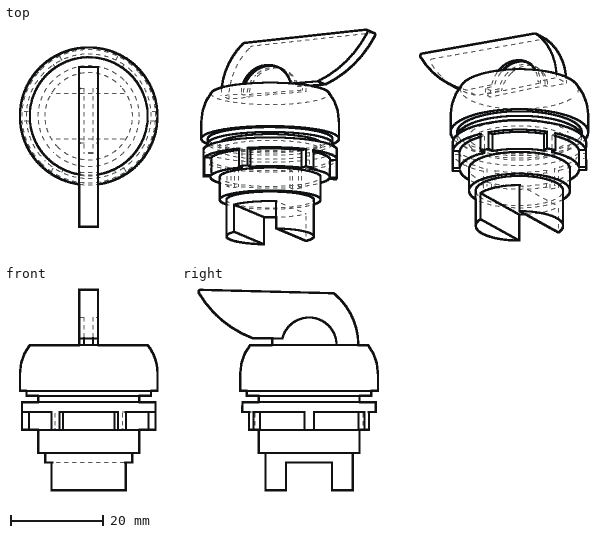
import cadquery as cq
import math

slot_top = 6.0
skirt_top = 8.1
tab_bottom = 13.1
flange_bottom = 16.95
flange_top = 19.1
gasket_bottom = 20.5
cap_bottom = 21.55
dome_start = 25.4
cap_top = 31.5

skirt_radius = 9.5
neck_radius = 10.95
collar_radius = 12.95
flange_radius = 14.5
gasket_radius = 13.55
cap_diameter = 29.9
cap_radius = cap_diameter / 2
cap_top_radius = 12.8

slot_width = 9.9
tab_count = 6
tab_width = 2.05

lever_thickness = 4.15
lever_top = 43.5
lever_back_y = 10.7
lever_back_radius = 14.5
lever_back_top_y = 5.35
lever_tip_y = -24.3
lever_underside = 32.95
nose_start_y = -12.2
nose_mid = (-19.1, 37.0)
tip_fillet = 0.5
back_fillet = 0.85

window_radius = 5.95
disc_radius = 8.05
disc_thickness = 1.95


def arc_mid_from_vertical(radius, height):
    """Inward shift and rise, halfway along an arc that starts vertical and climbs to height."""
    half_angle = math.asin(height / radius) / 2
    return radius * (1 - math.cos(half_angle)), radius * math.sin(half_angle)


def cylinder(radius, bottom, top):
    return cq.Workplane("XY").workplane(offset=bottom).circle(radius).extrude(top - bottom)


def make_cap():
    dome_height = cap_top - dome_start
    dome_inset = cap_radius - cap_top_radius
    dome_arc_radius = (dome_inset**2 + dome_height**2) / (2 * dome_inset)
    shift, rise = arc_mid_from_vertical(dome_arc_radius, dome_height)
    return (
        cq.Workplane("XZ")
        .moveTo(0, cap_bottom)
        .lineTo(cap_radius, cap_bottom)
        .lineTo(cap_radius, dome_start)
        .threePointArc((cap_radius - shift, dome_start + rise), (cap_top_radius, cap_top))
        .lineTo(0, cap_top)
        .close()
        .revolve(360, (0, 0, 0), (0, 1, 0))
    )


def make_tabs():
    """Tabs hanging below the flange, trimmed to its outer radius."""
    tab_height = flange_bottom - tab_bottom
    bars = cq.Workplane("XY")
    for index in range(tab_count // 2):
        bar = (
            cq.Workplane("XY")
            .workplane(offset=tab_bottom)
            .rect(cap_diameter, tab_width)
            .extrude(tab_height)
            .rotate((0, 0, 0), (0, 0, 1), index * 360 / tab_count)
        )
        bars = bars.union(bar)
    return bars.intersect(cylinder(flange_radius, tab_bottom, flange_bottom))


def make_housing():
    leg_slot = cq.Workplane("XY").box(
        cap_diameter, slot_width, slot_top, centered=(True, True, False)
    )
    return (
        cylinder(skirt_radius, 0, skirt_top)
        .cut(leg_slot)
        .union(cylinder(neck_radius, skirt_top, gasket_bottom))
        .union(cylinder(collar_radius, tab_bottom, flange_bottom))
        .union(make_tabs())
        .union(cylinder(flange_radius, flange_bottom, flange_top))
        .union(cylinder(gasket_radius, gasket_bottom, cap_bottom))
        .union(make_cap())
    )


def half_disc(radius, thickness):
    """Upper half of a disc across X, resting on the cap."""
    return (
        cq.Workplane("YZ")
        .moveTo(-radius, cap_top)
        .threePointArc((0, cap_top + radius), (radius, cap_top))
        .close()
        .extrude(thickness / 2, both=True)
    )


def make_lever():
    back_inset = lever_back_y - lever_back_top_y
    back_height = math.sqrt(lever_back_radius**2 - (lever_back_radius - back_inset) ** 2)
    back_top = cap_top + back_height
    shift, rise = arc_mid_from_vertical(lever_back_radius, back_height)
    plate = (
        cq.Workplane("YZ")
        .moveTo(lever_back_y, cap_top)
        .threePointArc((lever_back_y - shift, cap_top + rise), (lever_back_top_y, back_top))
        .lineTo(lever_tip_y, lever_top)
        .threePointArc(nose_mid, (nose_start_y, lever_underside))
        .lineTo(0, lever_underside)
        .lineTo(0, cap_top)
        .close()
        .extrude(lever_thickness / 2, both=True)
    )
    tip_edge = cq.selectors.NearestToPointSelector((0, lever_tip_y, lever_top))
    back_edge = cq.selectors.NearestToPointSelector((0, lever_back_top_y, back_top))
    plate = plate.edges("|X").edges(tip_edge).fillet(tip_fillet)
    plate = plate.edges("|X").edges(back_edge).fillet(back_fillet)
    return plate.cut(half_disc(window_radius, lever_thickness)).union(
        half_disc(disc_radius, disc_thickness)
    )


housing = make_housing()
lever = make_lever()
result = cq.Compound.makeCompound([housing.solids().val(), lever.solids().val()])